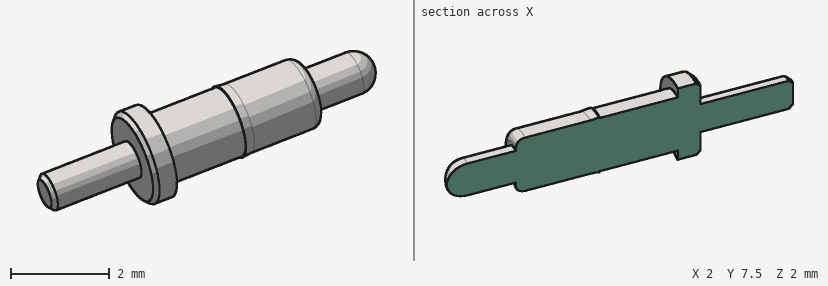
import cadquery as cq

total_length = 7.5

tail_radius = 0.4
flange_diameter = 2.0
flange_radius = flange_diameter / 2
barrel_radius = 0.75
ridge_radius = 0.77
plunger_radius = 0.45

tail_length = 2.0
flange_thickness = 0.495
barrel_length = 3.5
ridge_offset = 1.695
ridge_length = 0.2

chamfer_size = 0.1
barrel_fillet = 0.2

tail_end = -total_length / 2
flange_start = tail_end + tail_length
barrel_start = flange_start + flange_thickness
barrel_end = barrel_start + barrel_length
ridge_start = barrel_start + ridge_offset
plunger_tip = total_length / 2


def cylinder(radius, start, end):
    """Solid cylinder on the Y axis between two stations."""
    return cq.Workplane("XZ", origin=(0, start, 0)).circle(radius).extrude(start - end)


def make_tail():
    tail = cylinder(tail_radius, tail_end, flange_start)
    return tail.faces("<Y").chamfer(chamfer_size)


def make_flange():
    flange = cylinder(flange_radius, flange_start, barrel_start)
    return flange.faces("<Y").chamfer(chamfer_size)


def make_barrel():
    barrel = cylinder(barrel_radius, barrel_start, barrel_end)
    return barrel.faces(">Y").edges().fillet(barrel_fillet)


def make_ridge():
    """Shallow press-fit barb, stepped on the flange side and tapering to the barrel."""
    ridge_end = ridge_start + ridge_length
    profile = (
        cq.Workplane("XY")
        .moveTo(0, ridge_start)
        .lineTo(ridge_radius, ridge_start)
        .lineTo(barrel_radius, ridge_end)
        .lineTo(0, ridge_end)
        .close()
    )
    return profile.revolve(360, (0, 0, 0), (0, 1, 0))


def make_plunger():
    """Cylinder with a hemispherical tip."""
    dome_centre = plunger_tip - plunger_radius
    shaft = cylinder(plunger_radius, barrel_end, dome_centre)
    dome = cq.Workplane("XY").sphere(plunger_radius).translate((0, dome_centre, 0))
    return shaft.union(dome)


result = (
    make_tail()
    .union(make_flange())
    .union(make_barrel())
    .union(make_ridge())
    .union(make_plunger())
)